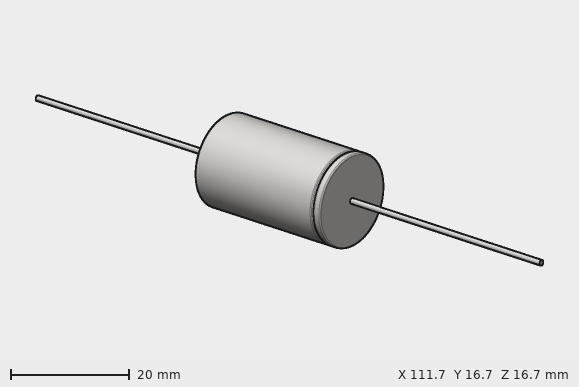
import cadquery as cq
import math

overall_length = 111.7
can_length = 27.7
can_diameter = 16.7
wire_diameter = 1.03
can_edge_radius = 0.25

groove_width = 0.9
groove_to_end = 1.75
shoulder_angle = math.radians(60)

can_radius = can_diameter / 2
wire_radius = wire_diameter / 2
can_end = can_length / 2
wire_end = overall_length / 2

groove_centre = can_end - groove_to_end
groove_start = groove_centre - groove_width / 2
groove_stop = groove_centre + groove_width / 2
shoulder_width = groove_width / 4
groove_arc_radius = shoulder_width / math.sin(shoulder_angle)
shoulder_drop = groove_arc_radius * (1 - math.cos(shoulder_angle))
groove_floor = (groove_centre, can_radius - 2 * shoulder_drop)
floor_start = (groove_centre - shoulder_width, can_radius - shoulder_drop)
floor_stop = (groove_centre + shoulder_width, can_radius - shoulder_drop)


def half_outline():
    """Outline above the X axis, from the -X wire tip over the can to the +X wire tip."""
    flat_radius = can_radius - can_edge_radius
    side_end = can_end - can_edge_radius
    return (
        cq.Workplane("XZ")
        .moveTo(-wire_end, 0)
        .lineTo(-wire_end, wire_radius)
        .lineTo(-can_end, wire_radius)
        .lineTo(-can_end, flat_radius)
        .radiusArc((-side_end, can_radius), can_edge_radius)
        .lineTo(groove_start, can_radius)
        .radiusArc(floor_start, groove_arc_radius)
        .threePointArc(groove_floor, floor_stop)
        .radiusArc((groove_stop, can_radius), groove_arc_radius)
        .lineTo(side_end, can_radius)
        .radiusArc((can_end, flat_radius), can_edge_radius)
        .lineTo(can_end, wire_radius)
        .lineTo(wire_end, wire_radius)
        .lineTo(wire_end, 0)
        .close()
    )


result = half_outline().revolve(360, (0, 0, 0), (1, 0, 0))